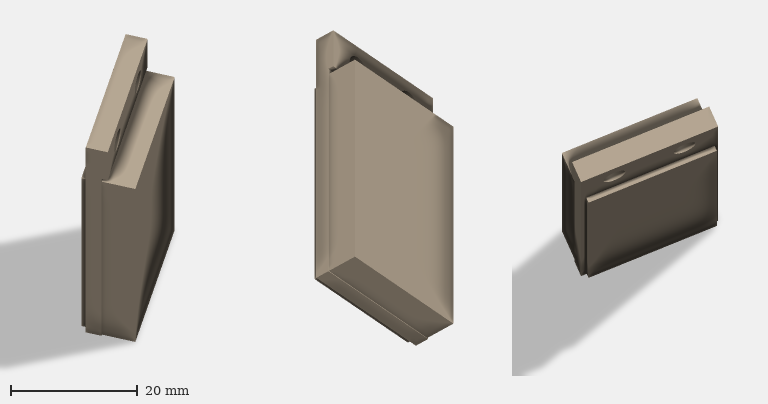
import cadquery as cq

plate_height = 47.5
plate_width = 23.5
plate_thickness = 2.55

head_thickness = 3.6
head_height = 7.15

pad_thickness = 0.9
pad_top_gap = 9.0
pad_bottom_gap = 0.55
pad_left_gap = 0.9
pad_right_gap = 0.6

block_thickness = 5.5
block_top_gap = 8.08
block_edge_gap = 0.15

hole_diameter = 3.75
hole_spacing = 12.0
hole_top_gap = 4.0


def box_between(x_range, y_range, z_range):
    """Box spanning the given (low, high) range along each axis."""
    lows, highs = zip(x_range, y_range, z_range)
    lengths = [high - low for low, high in zip(lows, highs)]
    return cq.Workplane("XY").box(*lengths, centered=False).translate(lows)


half_width = plate_width / 2
plate_sides = (-half_width, half_width)

plate = box_between((0, plate_thickness), plate_sides, (0, plate_height))
head = box_between((0, head_thickness), plate_sides, (plate_height - head_height, plate_height))
pad = box_between(
    (-pad_thickness, 0),
    (-half_width + pad_right_gap, half_width - pad_left_gap),
    (pad_bottom_gap, plate_height - pad_top_gap),
)
block = box_between(
    (plate_thickness, plate_thickness + block_thickness),
    (-half_width + block_edge_gap, half_width - block_edge_gap),
    (block_edge_gap, plate_height - block_top_gap),
)

holes = (
    cq.Workplane("YZ")
    .pushPoints([(side * hole_spacing / 2, plate_height - hole_top_gap) for side in (-1, 1)])
    .circle(hole_diameter / 2)
    .extrude(head_thickness)
)

result = plate.union(head).union(pad).union(block).cut(holes)